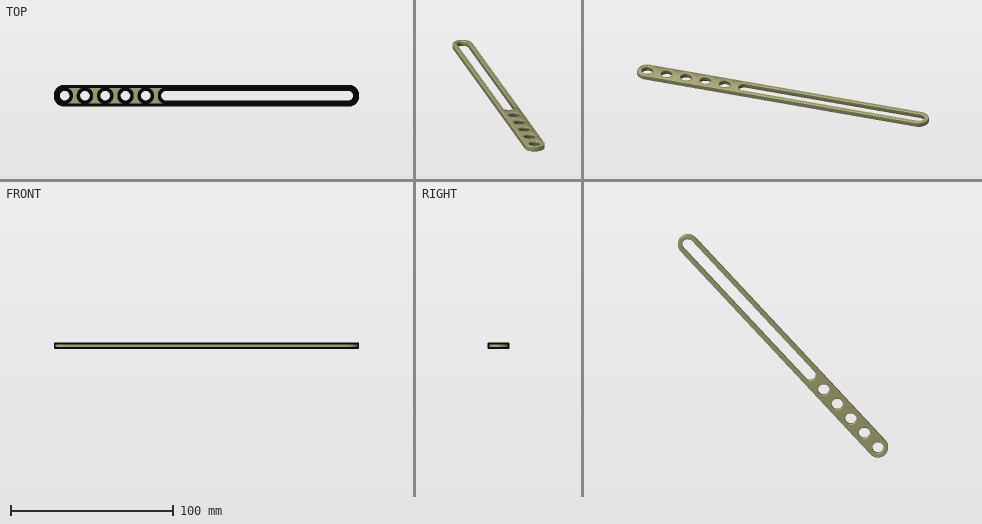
import cadquery as cq

pitch = 12.5
pitches_long = 15
strip_width = pitch
thickness = 3.125
edge_chamfer = 0.3

hole_count = 5
hole_diameter = 7.0
slot_start = hole_count * pitch
slot_end = (pitches_long - 1) * pitch

border_width = 1.1
collar_diameter = hole_diameter + 2 * border_width
panel_width = strip_width - 2 * border_width
recess_depth = 0.2
recess_floor = thickness - recess_depth


def rounded_bar(first_center, last_center, width, bottom, height):
    """Upright bar with semicircular ends centred on two points of the X axis."""
    spacing = last_center - first_center
    middle = (first_center + last_center) / 2
    return cq.Workplane("XY", origin=(middle, 0, bottom)).slot2D(spacing + width, width).extrude(height)


def hole_and_slot_shapes(width, bottom, height):
    """A cylinder at every round hole and a rounded bar along the slot, all of one width."""
    centers = [(index * pitch, 0) for index in range(hole_count)]
    plane = cq.Workplane("XY", origin=(0, 0, bottom))
    cylinders = plane.pushPoints(centers).circle(width / 2).extrude(height)
    return cylinders.union(rounded_bar(slot_start, slot_end, width, bottom, height))


def pierced_strip():
    """Strip with its openings, bevelled along every edge of the top and bottom faces."""
    strip = rounded_bar(0, slot_end, strip_width, 0, thickness)
    strip = strip.cut(hole_and_slot_shapes(hole_diameter, 0, thickness))
    return strip.faces("<Z or >Z").chamfer(edge_chamfer)


def panel_recess():
    """Cutter for the sunken panel between the rim and the collars."""
    panel = rounded_bar(0, slot_end, panel_width, recess_floor, recess_depth)
    return panel.cut(hole_and_slot_shapes(collar_diameter, recess_floor, recess_depth))


result = pierced_strip().cut(panel_recess())